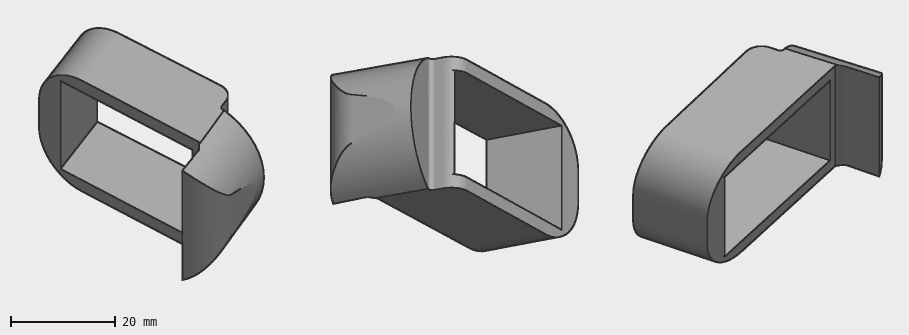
import cadquery as cq
import math

height = 27.65
left_corner_radius = 10.5
ring_depth_left = 15.8
rear_left_y = 33.6
front_slope = math.radians(12.9)
rear_slope = math.radians(12.2)
ring_right_x = 37.9
rear_corner_radius = 3.8

opening_left_x = 5.25
opening_right_x = 37.22
opening_height = 21.95

flange_left_x = 39.7
flange_tilt = math.radians(1.6)
flange_rear_y = 19.65
flange_right_x = 47.65
tip_reach = 7.1
rear_notch_radius = 0.95
front_blend_x = 38.75
front_blend_end_y = 6.5

cap_radius = 15.5
cap_right_x = 47.33
cap_length = 94.85


def plan_body():
    """Ring and flange outline in the XY plane, as one full-height block."""
    front_left_y = rear_left_y - ring_depth_left
    front_blend_y = front_left_y - front_blend_x * math.tan(front_slope)
    rear_corner_y = rear_left_y - ring_right_x * math.tan(rear_slope)
    flange_width = flange_right_x - ring_right_x
    flange_rear_right_y = flange_rear_y + flange_width * math.tan(flange_tilt)

    body = (
        cq.Workplane("XY")
        .workplane(offset=-height / 2)
        .moveTo(flange_left_x, 0)
        .lineTo(flange_left_x, front_blend_end_y)
        .tangentArcPoint((front_blend_x, front_blend_y), relative=False)
        .lineTo(0, front_left_y)
        .lineTo(0, rear_left_y)
        .lineTo(ring_right_x, rear_corner_y)
        .lineTo(ring_right_x, flange_rear_y)
        .lineTo(flange_right_x, flange_rear_right_y)
        .lineTo(flange_left_x + tip_reach, tip_reach)
        .tangentArcPoint((flange_left_x, 0), relative=False)
        .close()
        .extrude(height)
    )
    rear_corner = cq.NearestToPointSelector((ring_right_x, rear_corner_y, 0))
    rear_notch = cq.NearestToPointSelector((ring_right_x, flange_rear_y, 0))
    body = body.edges(rear_corner).fillet(rear_corner_radius)
    return body.edges(rear_notch).fillet(rear_notch_radius)


def cap_envelope():
    """Space the part may fill: everything left of the cap axis, plus the leaning cap cylinder."""
    axis_x = cap_right_x - cap_radius
    axis = cq.Vector(math.sin(flange_tilt), -math.cos(flange_tilt), 0)
    start = cq.Vector(axis_x, flange_rear_y, 0) - axis * (cap_length / 2)
    cylinder = cq.Solid.makeCylinder(cap_radius, cap_length, start, axis)
    ring_space = cq.Workplane("XY").box(axis_x, cap_length, height, centered=(False, True, True))
    return ring_space.union(cq.Workplane(cylinder))


def opening():
    width = opening_right_x - opening_left_x
    return (
        cq.Workplane("XY")
        .box(width, rear_left_y, opening_height, centered=(False, False, True))
        .translate((opening_left_x, 0, 0))
    )


body = plan_body().faces("<X").edges("|Y").fillet(left_corner_radius)
result = body.intersect(cap_envelope()).cut(opening())